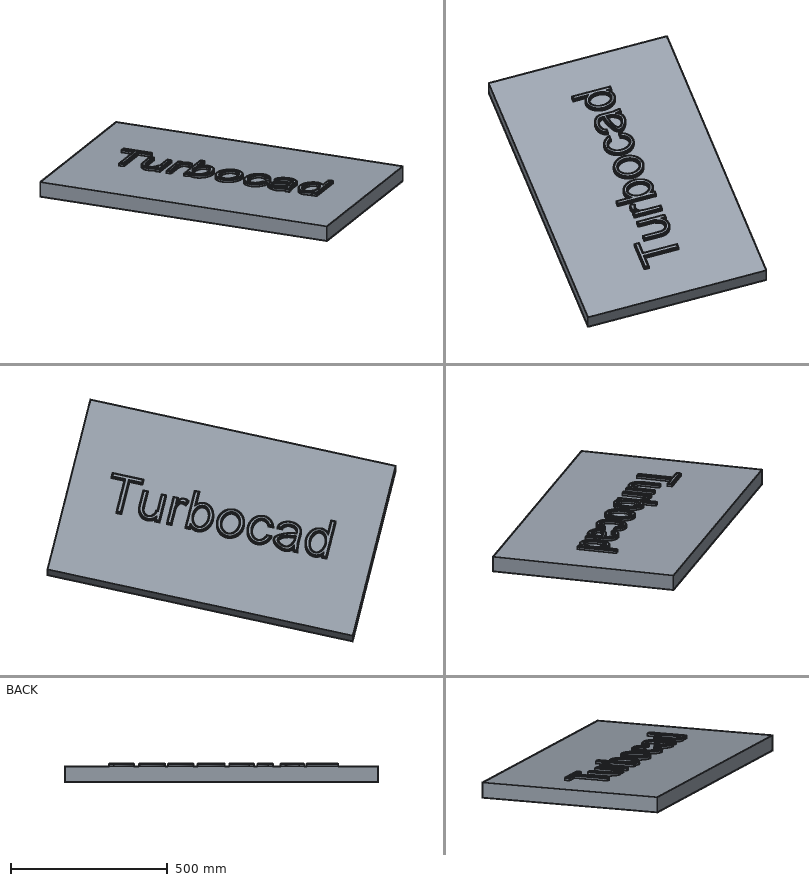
import cadquery as cq

plate_length = 1000.0
plate_width = 600.0
plate_thickness = 50.0

letter_height = 10.0
letter_bevel = 3.0
baseline_y = -62.0
cap_height = 130.0
x_height = 94.0
stem_width = 16.0
bar_width = 14.0
overshoot = 2.0
bowl_bottom = -overshoot
bowl_top = x_height + overshoot
bowl_half_height = (bowl_top - bowl_bottom) / 2
bowl_center_y = (bowl_top + bowl_bottom) / 2

t_width = 102.0
t_stem_width = 17.0
u_width = 76.0
b_width = 80.0
o_width = 88.0
c_width = 84.0
a_stem_right = 81.0

t_left = -373.0
u_left = -264.0
r_left = -165.0
b_left = -104.0
o_left = -11.0
c_left = 89.0
a_left = 179.0
d_left = 279.0


def block(x_min, x_max, y_min, y_max):
    """Straight stroke between the given edges."""
    return (
        cq.Workplane("XY")
        .center((x_min + x_max) / 2, (y_min + y_max) / 2)
        .rect(x_max - x_min, y_max - y_min)
        .extrude(letter_height)
    )


def disc(center_x, center_y, half_width, half_height):
    """Elliptical disc."""
    return (
        cq.Workplane("XY")
        .center(center_x, center_y)
        .ellipse(half_width, half_height)
        .extrude(letter_height)
    )


def ring(center_x, center_y, half_width, half_height):
    """Elliptical ring: a stem width thick at its sides, a bar width at its top and bottom."""
    outside = disc(center_x, center_y, half_width, half_height)
    counter = disc(center_x, center_y, half_width - stem_width, half_height - bar_width)
    return outside.cut(counter)


def round_bowl(width):
    """Full-height ring that starts at X = 0."""
    return ring(width / 2, bowl_center_y, width / 2, bowl_half_height)


def capital_t():
    stem_left = (t_width - t_stem_width) / 2
    stem = block(stem_left, stem_left + t_stem_width, 0, cap_height)
    bar = block(0, t_width, cap_height - stem_width, cap_height)
    return stem.union(bar)


def letter_u():
    bowl_width = 72.0
    bowl_center = 36.0
    right_stem_left = u_width - stem_width
    lower_half = block(0, bowl_width, -x_height, bowl_center)
    bowl = ring(bowl_width / 2, bowl_center, bowl_width / 2, bowl_center + overshoot).intersect(lower_half)
    left_stem = block(0, stem_width, bowl_center, x_height)
    right_stem = block(right_stem_left, u_width, 0, x_height)
    return bowl.union(left_stem).union(right_stem)


def letter_r():
    stem_middle = stem_width / 2
    arm_base = 50.0
    stem = block(0, stem_width, 0, x_height)
    arm = (
        cq.Workplane("XY")
        .moveTo(stem_middle, arm_base)
        .lineTo(stem_width, arm_base)
        .spline([(33.0, 80.0), (45.0, 76.0)], tangents=[(0, 1), (1, -0.5)], includeCurrent=True)
        .lineTo(51.0, 91.0)
        .spline([(36.0, bowl_top), (stem_middle, 68.0)], tangents=[(-1, 0.5), (-0.4, -1)], includeCurrent=True)
        .close()
        .extrude(letter_height)
    )
    return stem.union(arm)


def letter_b():
    stem = block(0, stem_width, 0, cap_height)
    outside = disc(b_width / 2, bowl_center_y, b_width / 2, bowl_half_height)
    counter_half_width = b_width / 2 - stem_width
    counter = disc(b_width / 2, bowl_center_y, counter_half_width, bowl_half_height - bar_width)
    return stem.union(outside).cut(counter)


def letter_d():
    """Mirror image of the b."""
    return letter_b().mirror("YZ").translate((b_width, 0, 0))


def letter_o():
    return round_bowl(o_width)


def letter_c():
    mouth_bottom = 34.0
    mouth_top = 66.0
    mouth = block(c_width / 2, c_width, mouth_bottom, mouth_top)
    return round_bowl(c_width).cut(mouth)


def letter_a():
    arch_left = 3.0
    arch_base = 66.0
    stem_left = a_stem_right - stem_width
    stem_middle = a_stem_right - stem_width / 2
    arch_half_width = (a_stem_right - arch_left) / 2
    upper_half = block(0, t_width, arch_base, cap_height)
    arch = ring(arch_left + arch_half_width, arch_base, arch_half_width, bowl_top - arch_base)
    arch = arch.intersect(upper_half)

    tail_top = 25.0
    tail_left = 70.0
    tail_right = 85.0
    stem = block(stem_left, a_stem_right, tail_top, arch_base)
    tail = (
        cq.Workplane("XY")
        .moveTo(stem_left, tail_top)
        .lineTo(tail_left, 0)
        .lineTo(tail_right, 0)
        .lineTo(a_stem_right, tail_top)
        .close()
        .extrude(letter_height)
    )

    bowl_join_bottom = 20.0
    bowl_join_top = 60.0
    bowl_middle_y = 26.0
    bowl = (
        cq.Workplane("XY")
        .moveTo(stem_middle, bowl_join_bottom)
        .lineTo(stem_middle, bowl_join_top)
        .spline(
            [(34.0, 54.0), (0, bowl_middle_y), (31.0, bowl_bottom), (stem_middle, bowl_join_bottom)],
            includeCurrent=True,
        )
        .close()
        .extrude(letter_height)
    )
    counter_right_bottom = 35.0
    counter_right_top = 47.0
    counter = (
        cq.Workplane("XY")
        .moveTo(stem_left, counter_right_bottom)
        .lineTo(stem_left, counter_right_top)
        .spline(
            [(37.0, 42.0), (stem_width, bowl_middle_y), (35.0, 11.0), (stem_left, counter_right_bottom)],
            tangents=[(-1, -0.1), (0.3, 1)],
            includeCurrent=True,
        )
        .close()
        .extrude(letter_height)
    )
    return arch.union(stem).union(tail).union(bowl).cut(counter)


def raised(letter, left):
    """Bevel the top edges of a letter and stand it on the plate."""
    beveled = letter.faces(">Z").edges().chamfer(letter_bevel)
    return beveled.translate((left, baseline_y, plate_thickness))


plate = cq.Workplane("XY").box(
    plate_length, plate_width, plate_thickness, centered=(True, True, False)
)

placed_letters = [
    (capital_t(), t_left),
    (letter_u(), u_left),
    (letter_r(), r_left),
    (letter_b(), b_left),
    (letter_o(), o_left),
    (letter_c(), c_left),
    (letter_a(), a_left),
    (letter_d(), d_left),
]
letters = [raised(letter, left).val() for letter, left in placed_letters]

result = cq.Compound.makeCompound([plate.val(), *letters])